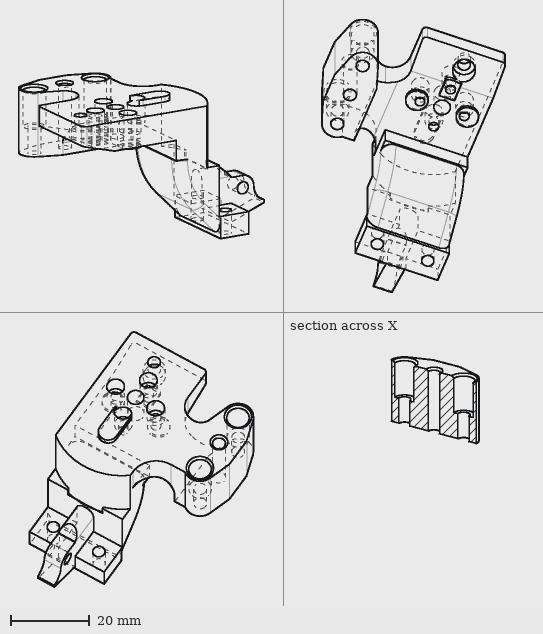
import cadquery as cq
import math


HALF_WIDTH = 11.2
FRONT_Y = -16.35
PLATE_THICKNESS = 7.7
PLATE_FRONT_THICKNESS = 5.1
TAPER_END_Y = -7.1
FRONT_CORNER_RADIUS = 1.0
REAR_ARC_RADIUS = 17.65
REAR_ARC_APEX_Y = 24.25
REAR_ARC_CENTER_Y = REAR_ARC_APEX_Y - REAR_ARC_RADIUS
REAR_ARC_BOTTOM_Z = -16.3
REAR_NOTCH_BOTTOM_Z = -18.65
REAR_NOTCH_HALF_WIDTH = 5.2
WALL_FRONT_Y = 11.5
WALL_BACK_Y = 23.95
WALL_STEP_Z = -13.2
WALL_OVERHANG = 0.3

WEB_STRAIGHT_LENGTH = 0.3
WEB_BEND_RADIUS = 20.0
WEB_BEND_ANGLE = 45
WEB_CORNER_RADIUS = 2.95

FOOT_FRONT_Y = 24.3
FOOT_BACK_Y = 32.65
FOOT_TOP_Z = -29.85
FOOT_BOTTOM_Z = -35.7
FOOT_HOLE_X = 6.8
FOOT_HOLE_Y = 28.25
FOOT_HOLE_DIAMETER = 3.1

HOOK_HALF_WIDTH = 5.0 / 2
HOOK_EYE_Y = 36.1
HOOK_EYE_Z = -26.3
HOOK_EYE_DIAMETER = 3.2
HOOK_EYE_RADIUS = 3.3
HOOK_THROAT_RADIUS = 4.3
HOOK_TIP_Y = 42.5
HOOK_TIP_LENGTH = 0.7
HOOK_HEEL_Z = -34.8
RIDGE_TOP_Z = -20.2
RIDGE_TOP_END_Y = 30.05

POD_X = -24.95
POD_BOTTOM_Z = -17.0
POD_HALF_WIDTH = 5.7
POD_HALF_FLAT = 4.05
LOBE_Y = 9.0
LOBE_RADIUS = 3.95
ARM_BACK_Y = 12.05
ARM_NOTCH_APEX_Y = -2.05
ARM_BEND_RADIUS = 7.0
ARM_ARCH_RADIUS = 6.0
ARM_NOTCH_RADIUS = 4.95
ARM_HOLE_DIAMETER = 3.3
LOBE_BORE_DIAMETER = 5.7
LOBE_BORE_DEPTH = 10.0
ARM_HOLE_CHAMFER = 0.6

CENTRAL_BORE_DIAMETER = 4.2
SCREW_CIRCLE_RADIUS = 6.0
SCREW_DIAMETER = 2.5
SCREW_HEAD_DIAMETER = 4.5
SCREW_HEAD_DEPTH = 4.7
TAPER_HOLE_X = 1.65
TAPER_HOLE_Y = -11.35
TAPER_HOLE_DIAMETER = 3.2
SPOTFACE_DIAMETER = 5.7
SPOTFACE_TOP_Z = -3.55

KEY_HEIGHT = 1.5
KEY_RADIUS = HOOK_HALF_WIDTH
KEY_FRONT_Y = 6.5
KEY_BACK_Y = 13.05
KEY_TRIM_Y = 5.6

PAD_BOTTOM_Z = -8.55
SIDE_PAD_X = FOOT_HOLE_X
SIDE_PAD_DIAMETER = 5.7
SIDE_PAD_FLAT = 1.6
FRONT_PAD_HALF_WIDTH = 2.05
FRONT_PAD_RADIUS = 8.7
FRONT_PAD_BACK_Y = -3.35


def box(x0, x1, y0, y1, z0, z1):
    return cq.Workplane("XY").box(x1 - x0, y1 - y0, z1 - z0, centered=False).translate((x0, y0, z0))


def cylinder(x, y, diameter, z0, z1):
    return cq.Workplane("XY", origin=(x, y, z0)).circle(diameter / 2).extrude(z1 - z0)


def side_profile(half_width):
    """Y-Z sketch plane at x = -half_width, to be extruded across the full width."""
    return cq.Workplane("YZ", origin=(-half_width, 0, 0))


def rear_disc(bottom_z):
    return cylinder(0, REAR_ARC_CENTER_Y, 2 * REAR_ARC_RADIUS, bottom_z, 0)


def make_plate():
    plate = (
        side_profile(HALF_WIDTH)
        .moveTo(FRONT_Y, 0)
        .lineTo(REAR_ARC_APEX_Y, 0)
        .lineTo(REAR_ARC_APEX_Y, -PLATE_THICKNESS)
        .lineTo(TAPER_END_Y, -PLATE_THICKNESS)
        .lineTo(FRONT_Y, -PLATE_FRONT_THICKNESS)
        .close()
        .extrude(2 * HALF_WIDTH)
        .edges("|Z and <Y")
        .fillet(FRONT_CORNER_RADIUS)
    )
    front_part = box(-HALF_WIDTH, HALF_WIDTH, FRONT_Y, REAR_ARC_CENTER_Y, -PLATE_THICKNESS, 0)
    return plate.intersect(front_part.union(rear_disc(-PLATE_THICKNESS)))


def make_wall():
    square_top = box(
        -HALF_WIDTH, HALF_WIDTH, WALL_FRONT_Y - WALL_OVERHANG, WALL_BACK_Y, WALL_STEP_Z, -PLATE_THICKNESS
    )
    arc_edge_y = REAR_ARC_CENTER_Y + math.sqrt(REAR_ARC_RADIUS**2 - HALF_WIDTH**2)
    rear_zone = box(
        -HALF_WIDTH, HALF_WIDTH, arc_edge_y, REAR_ARC_APEX_Y, REAR_ARC_BOTTOM_Z, -PLATE_THICKNESS
    ).union(
        box(
            -REAR_NOTCH_HALF_WIDTH, REAR_NOTCH_HALF_WIDTH, arc_edge_y, REAR_ARC_APEX_Y,
            REAR_NOTCH_BOTTOM_Z, REAR_ARC_BOTTOM_Z,
        )
    )
    outside_arc = rear_zone.cut(rear_disc(REAR_NOTCH_BOTTOM_Z))
    return make_web().union(square_top).union(rear_zone).cut(outside_arc)


def make_web():
    bend_start_z = WALL_STEP_Z - WEB_STRAIGHT_LENGTH
    bend_center_y = WALL_FRONT_Y + WEB_BEND_RADIUS

    def bend_point(degrees):
        angle = math.radians(degrees)
        return (
            bend_center_y - WEB_BEND_RADIUS * math.cos(angle),
            bend_start_z - WEB_BEND_RADIUS * math.sin(angle),
        )

    bend_end_y, bend_end_z = bend_point(WEB_BEND_ANGLE)
    heel_z = bend_end_z - (FOOT_FRONT_Y - bend_end_y) / math.tan(math.radians(WEB_BEND_ANGLE))
    web = (
        side_profile(HALF_WIDTH)
        .moveTo(WALL_FRONT_Y, WALL_STEP_Z)
        .lineTo(WALL_FRONT_Y, bend_start_z)
        .threePointArc(bend_point(WEB_BEND_ANGLE / 2), (bend_end_y, bend_end_z))
        .lineTo(FOOT_FRONT_Y, heel_z)
        .lineTo(FOOT_FRONT_Y, FOOT_TOP_Z)
        .lineTo(WALL_BACK_Y, FOOT_TOP_Z)
        .lineTo(WALL_BACK_Y, WALL_STEP_Z)
        .close()
        .extrude(2 * HALF_WIDTH)
    )
    return web.edges("|Z").edges("<Y").fillet(WEB_CORNER_RADIUS)


def make_foot():
    foot = box(-HALF_WIDTH, HALF_WIDTH, FOOT_FRONT_Y, FOOT_BACK_Y, FOOT_BOTTOM_Z, FOOT_TOP_Z)
    for side in (-1, 1):
        x = side * FOOT_HOLE_X
        foot = foot.cut(cylinder(x, FOOT_HOLE_Y, FOOT_HOLE_DIAMETER, FOOT_BOTTOM_Z, FOOT_TOP_Z))
    return foot


def make_hook():
    eye_back_y = HOOK_EYE_Y + HOOK_EYE_RADIUS
    eye_top_z = HOOK_EYE_Z + HOOK_EYE_RADIUS
    eye_mid = HOOK_EYE_RADIUS * math.sqrt(0.5)
    throat_center_y = eye_back_y + HOOK_THROAT_RADIUS

    def throat_point(y):
        drop = math.sqrt(HOOK_THROAT_RADIUS**2 - (throat_center_y - y) ** 2)
        return (y, HOOK_EYE_Z - drop)

    tip = throat_point(HOOK_TIP_Y)
    hook = (
        side_profile(HOOK_HALF_WIDTH)
        .moveTo(WALL_BACK_Y, eye_top_z)
        .lineTo(HOOK_EYE_Y, eye_top_z)
        .threePointArc((HOOK_EYE_Y + eye_mid, HOOK_EYE_Z + eye_mid), (eye_back_y, HOOK_EYE_Z))
        .threePointArc(throat_point((eye_back_y + HOOK_TIP_Y) / 2), tip)
        .lineTo(HOOK_TIP_Y, tip[1] - HOOK_TIP_LENGTH)
        .lineTo(FOOT_BACK_Y, HOOK_HEEL_Z)
        .lineTo(WALL_BACK_Y, FOOT_TOP_Z)
        .close()
        .extrude(2 * HOOK_HALF_WIDTH)
    )
    eye = (
        side_profile(HOOK_HALF_WIDTH)
        .center(HOOK_EYE_Y, HOOK_EYE_Z)
        .circle(HOOK_EYE_DIAMETER / 2)
        .extrude(2 * HOOK_HALF_WIDTH)
    )
    return hook.cut(eye).union(make_ridge())


def make_ridge():
    spring_z = RIDGE_TOP_Z - HOOK_HALF_WIDTH
    arch = (
        cq.Workplane("XZ", origin=(0, WALL_BACK_Y, 0))
        .moveTo(-HOOK_HALF_WIDTH, HOOK_EYE_Z)
        .lineTo(-HOOK_HALF_WIDTH, spring_z)
        .threePointArc((0, RIDGE_TOP_Z), (HOOK_HALF_WIDTH, spring_z))
        .lineTo(HOOK_HALF_WIDTH, HOOK_EYE_Z)
        .close()
        .extrude(WALL_BACK_Y - FOOT_BACK_Y)
    )
    bevel_run = FOOT_BACK_Y - RIDGE_TOP_END_Y
    bevel = (
        side_profile(HOOK_HALF_WIDTH)
        .moveTo(RIDGE_TOP_END_Y, RIDGE_TOP_Z)
        .lineTo(FOOT_BACK_Y, RIDGE_TOP_Z)
        .lineTo(FOOT_BACK_Y, RIDGE_TOP_Z - bevel_run)
        .close()
        .extrude(2 * HOOK_HALF_WIDTH)
    )
    return arch.cut(bevel)


def make_pod():
    """Lobed column carrying the three arm holes, symmetric about both its axes."""
    dx = POD_HALF_WIDTH
    dy = LOBE_Y - POD_HALF_FLAT
    distance = math.hypot(dx, dy)
    angle = math.atan2(-dy, dx) + math.acos(LOBE_RADIUS / distance)
    tangent_x = LOBE_RADIUS * math.cos(angle)
    tangent_y = LOBE_Y + LOBE_RADIUS * math.sin(angle)
    return (
        cq.Workplane("XY", origin=(POD_X, 0, POD_BOTTOM_Z))
        .moveTo(POD_HALF_WIDTH, -POD_HALF_FLAT)
        .lineTo(POD_HALF_WIDTH, POD_HALF_FLAT)
        .lineTo(tangent_x, tangent_y)
        .threePointArc((0, LOBE_Y + LOBE_RADIUS), (-tangent_x, tangent_y))
        .lineTo(-POD_HALF_WIDTH, POD_HALF_FLAT)
        .lineTo(-POD_HALF_WIDTH, -POD_HALF_FLAT)
        .lineTo(-tangent_x, -tangent_y)
        .threePointArc((0, -LOBE_Y - LOBE_RADIUS), (tangent_x, -tangent_y))
        .close()
        .extrude(-POD_BOTTOM_Z)
    )


def make_bridge():
    """Web joining the pod to the plate, arched on its underside."""
    root_x = -HALF_WIDTH
    pod_face_x = POD_X + POD_HALF_WIDTH
    bend_mid = ARM_BEND_RADIUS * (1 - math.sqrt(0.5))
    arch_mid = ARM_ARCH_RADIUS * (1 - math.sqrt(0.5))
    notch_mid = ARM_NOTCH_RADIUS * (1 - math.sqrt(0.5))
    bridge = (
        cq.Workplane("XY", origin=(0, 0, POD_BOTTOM_Z))
        .moveTo(POD_X, ARM_BACK_Y)
        .lineTo(root_x - ARM_BEND_RADIUS, ARM_BACK_Y)
        .threePointArc(
            (root_x - bend_mid, ARM_BACK_Y + bend_mid),
            (root_x, ARM_BACK_Y + ARM_BEND_RADIUS),
        )
        .lineTo(root_x, ARM_NOTCH_APEX_Y - ARM_NOTCH_RADIUS)
        .threePointArc(
            (root_x - notch_mid, ARM_NOTCH_APEX_Y - notch_mid),
            (root_x - ARM_NOTCH_RADIUS, ARM_NOTCH_APEX_Y),
        )
        .tangentArcPoint((pod_face_x, -POD_HALF_FLAT), relative=False)
        .lineTo(POD_X, -POD_HALF_FLAT)
        .close()
        .extrude(-POD_BOTTOM_Z)
    )
    arch = (
        cq.Workplane("XZ", origin=(0, ARM_BACK_Y + ARM_BEND_RADIUS, 0))
        .moveTo(pod_face_x, POD_BOTTOM_Z)
        .lineTo(pod_face_x, -PLATE_THICKNESS - ARM_ARCH_RADIUS)
        .threePointArc(
            (pod_face_x + arch_mid, -PLATE_THICKNESS - arch_mid),
            (pod_face_x + ARM_ARCH_RADIUS, -PLATE_THICKNESS),
        )
        .lineTo(root_x, -PLATE_THICKNESS)
        .lineTo(root_x, POD_BOTTOM_Z)
        .close()
        .extrude(ARM_BACK_Y + ARM_BEND_RADIUS - FRONT_Y)
    )
    return bridge.cut(arch)


def conical_mouth(x, y, diameter):
    """45 degree lead-in at the top face."""
    radius = diameter / 2
    base = cq.Vector(x, y, -ARM_HOLE_CHAMFER)
    cone = cq.Solid.makeCone(radius, radius + ARM_HOLE_CHAMFER, ARM_HOLE_CHAMFER, base)
    return cq.Workplane("XY").add(cone)


def cut_arm_holes(body):
    for y in (-LOBE_Y, 0, LOBE_Y):
        body = body.cut(cylinder(POD_X, y, ARM_HOLE_DIAMETER, POD_BOTTOM_Z, 0))
    for y in (-LOBE_Y, LOBE_Y):
        body = body.cut(cylinder(POD_X, y, LOBE_BORE_DIAMETER, -LOBE_BORE_DEPTH, 0))
        body = body.cut(conical_mouth(POD_X, y, LOBE_BORE_DIAMETER))
    return body.cut(conical_mouth(POD_X, 0, ARM_HOLE_DIAMETER))


def make_key():
    length = KEY_BACK_Y - KEY_FRONT_Y
    key = (
        cq.Workplane("XY", origin=(0, (KEY_FRONT_Y + KEY_BACK_Y) / 2, 0))
        .slot2D(length + 2 * KEY_RADIUS, 2 * KEY_RADIUS, 90)
        .extrude(KEY_HEIGHT)
    )
    return key.cut(box(-KEY_RADIUS, KEY_RADIUS, 0, KEY_TRIM_Y, 0, KEY_HEIGHT))


def make_pads():
    front = box(
        -FRONT_PAD_HALF_WIDTH, FRONT_PAD_HALF_WIDTH, -FRONT_PAD_RADIUS, FRONT_PAD_BACK_Y,
        PAD_BOTTOM_Z, -PLATE_FRONT_THICKNESS,
    )
    pads = front.intersect(cylinder(0, 0, 2 * FRONT_PAD_RADIUS, PAD_BOTTOM_Z, 0))
    flat_y = -math.sqrt(SIDE_PAD_DIAMETER**2 - SIDE_PAD_FLAT**2) / 2
    trim = box(-HALF_WIDTH, HALF_WIDTH, flat_y, SIDE_PAD_DIAMETER, PAD_BOTTOM_Z, 0)
    for side in (-1, 1):
        pad = cylinder(side * SIDE_PAD_X, 0, SIDE_PAD_DIAMETER, PAD_BOTTOM_Z, -PLATE_FRONT_THICKNESS)
        pads = pads.union(pad.intersect(trim))
    return pads


def cut_plate_holes(body):
    body = body.cut(cylinder(0, 0, CENTRAL_BORE_DIAMETER, PAD_BOTTOM_Z, 0))
    for quarter in range(4):
        angle = math.radians(90 * quarter)
        x = SCREW_CIRCLE_RADIUS * math.cos(angle)
        y = SCREW_CIRCLE_RADIUS * math.sin(angle)
        body = body.cut(cylinder(x, y, SCREW_DIAMETER, PAD_BOTTOM_Z, 0))
        body = body.cut(cylinder(x, y, SCREW_HEAD_DIAMETER, -SCREW_HEAD_DEPTH, KEY_HEIGHT))
    body = body.cut(cylinder(TAPER_HOLE_X, TAPER_HOLE_Y, TAPER_HOLE_DIAMETER, PAD_BOTTOM_Z, 0))
    return body.cut(cylinder(TAPER_HOLE_X, TAPER_HOLE_Y, SPOTFACE_DIAMETER, PAD_BOTTOM_Z, SPOTFACE_TOP_Z))


body = make_plate().union(make_wall()).union(make_foot()).union(make_hook())
body = body.union(make_bridge()).union(make_pod())
body = body.union(make_key()).union(make_pads())
result = cut_plate_holes(cut_arm_holes(body))